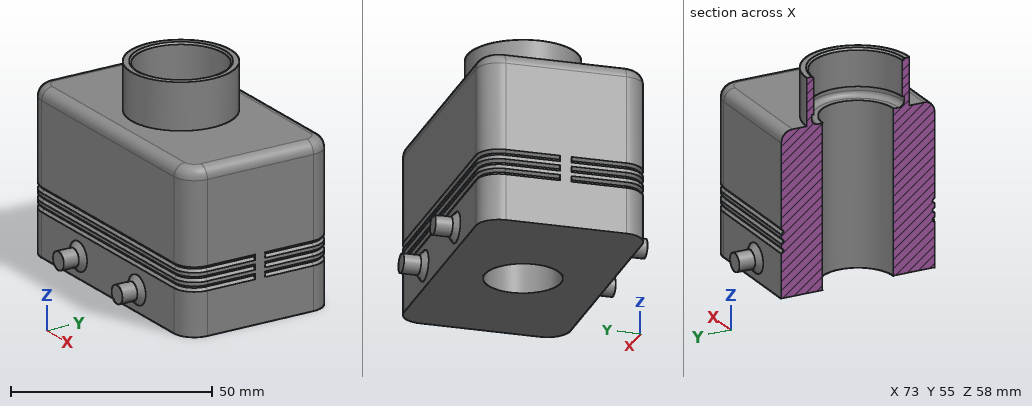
import cadquery as cq
import math

LENGTH = 73.0
WIDTH = 43.2
BODY_HEIGHT = 45.05
CORNER_RADIUS = 6.0
TOP_FILLET = 3.15

TOTAL_HEIGHT = 58.0
COLLAR_DIAMETER = 29.0
BORE_DIAMETER = 24.8
RIM_CHAMFER = 0.5
SEAT_Z = BODY_HEIGHT
RELIEF_DEPTH = 0.5
RELIEF_HEIGHT = 2.7
RELIEF_FILLET = 1.45
HOLE_DIAMETER = 19.85

GROOVE_COUNT = 3
GROOVE_DEPTH = 0.7
GROOVE_HEIGHT = 1.5
GROOVE_PITCH = 2.55
MIDDLE_GROOVE_Z = 15.5
END_GAP = 3.0

PEG_TIP_SPAN = 55.0
PEG_DIAMETER = 5.05
PEG_BASE_DIAMETER = 8.0
PEG_CONE_HEIGHT = 1.45
PEG_SPACING = 27.0
PEG_Z = 6.0


def make_body():
    """Solid block with rounded upright corners and a rounded top edge."""
    block = cq.Workplane("XY").box(LENGTH, WIDTH, BODY_HEIGHT, centered=(True, True, False))
    return block.edges("|Z").fillet(CORNER_RADIUS).faces(">Z").edges().fillet(TOP_FILLET)


def rounded_section(z, inset):
    """Body outline at height z, moved inward by inset."""
    return (
        cq.Sketch()
        .rect(LENGTH - 2 * inset, WIDTH - 2 * inset)
        .vertices()
        .fillet(CORNER_RADIUS - inset)
        .moved(cq.Location(cq.Vector(0, 0, z)))
    )


def make_groove(z):
    """V groove around the body, interrupted at the middle of both ends."""
    half_height = GROOVE_HEIGHT / 2
    ring = (
        cq.Workplane("XY", origin=(0, 0, z - half_height))
        .rect(2 * LENGTH, 2 * WIDTH)
        .extrude(GROOVE_HEIGHT)
    )
    for edge_z in (z - half_height, z + half_height):
        outer_section = rounded_section(edge_z, 0)
        neck_section = rounded_section(z, GROOVE_DEPTH)
        neck_half = cq.Workplane("XY").placeSketch(outer_section, neck_section).loft()
        ring = ring.cut(neck_half)
    bridge = cq.Workplane("XY", origin=(0, 0, z)).box(2 * LENGTH, END_GAP, GROOVE_HEIGHT)
    return ring.cut(bridge)


def make_peg(x, side):
    """Peg with a conical foot, pointing out of the long wall on the given side of Y."""
    tip = PEG_TIP_SPAN / 2
    wall = WIDTH / 2
    peg_radius = PEG_DIAMETER / 2
    profile = [
        (0, 0),
        (PEG_BASE_DIAMETER / 2, 0),
        (PEG_BASE_DIAMETER / 2, wall),
        (peg_radius, wall + PEG_CONE_HEIGHT),
        (peg_radius, tip),
        (0, tip),
    ]
    peg = cq.Workplane("XY").polyline(profile).close().revolve(360, (0, 0), (0, 1))
    if side < 0:
        peg = peg.mirror("XZ")
    return peg.translate((x, 0, PEG_Z))


def make_collar():
    """Round collar rising from the top face."""
    return cq.Workplane("XY").circle(COLLAR_DIAMETER / 2).extrude(TOTAL_HEIGHT)


def make_entry_bore():
    """Stepped bore: chamfered rim, bore, relief groove with a rounded floor corner, through hole."""
    bore_radius = BORE_DIAMETER / 2
    hole_radius = HOLE_DIAMETER / 2
    relief_radius = bore_radius + RELIEF_DEPTH
    relief_top_z = SEAT_Z + RELIEF_HEIGHT
    corner_center_x = relief_radius - RELIEF_FILLET
    corner_center_z = SEAT_Z + RELIEF_FILLET
    corner_reach = RELIEF_FILLET * math.sqrt(0.5)
    profile = (
        cq.Workplane("XZ")
        .lineTo(hole_radius, 0)
        .lineTo(hole_radius, SEAT_Z)
        .lineTo(corner_center_x, SEAT_Z)
        .threePointArc(
            (corner_center_x + corner_reach, corner_center_z - corner_reach),
            (relief_radius, corner_center_z),
        )
        .lineTo(relief_radius, relief_top_z)
        .lineTo(bore_radius, relief_top_z)
        .lineTo(bore_radius, TOTAL_HEIGHT - RIM_CHAMFER)
        .lineTo(bore_radius + RIM_CHAMFER, TOTAL_HEIGHT)
        .lineTo(0, TOTAL_HEIGHT)
        .close()
    )
    return profile.revolve(360, (0, 0), (0, 1))


result = make_body()

for index in range(GROOVE_COUNT):
    offset = index - (GROOVE_COUNT - 1) / 2
    result = result.cut(make_groove(MIDDLE_GROOVE_Z + offset * GROOVE_PITCH))

for peg_x in (-PEG_SPACING / 2, PEG_SPACING / 2):
    for peg_side in (-1, 1):
        result = result.union(make_peg(peg_x, peg_side))

result = result.union(make_collar()).cut(make_entry_bore())